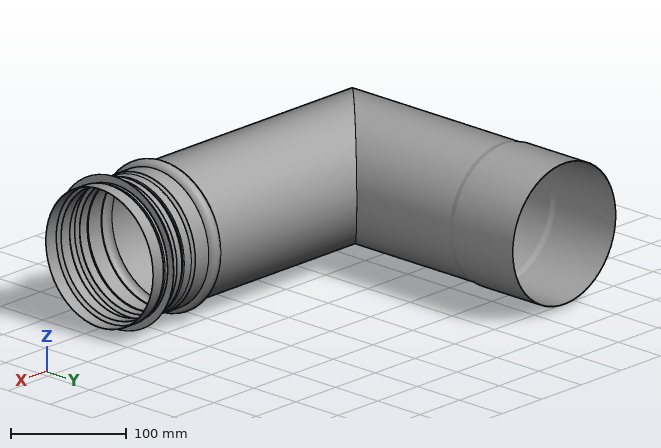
import cadquery as cq

WALL = 0.58
PIPE_RADIUS = 128.0 / 2
SOCKET_RADIUS = 130.0 / 2
LIP_RADIUS = 139.8 / 2
OVERALL_X = 385.0
OVERALL_Y = 319.5
X_END = OVERALL_X - SOCKET_RADIUS
Y_END = OVERALL_Y - LIP_RADIUS

SOCKET_LENGTH = 70.0
SOCKET_TAPER = 5.5

BEAD_CENTER = 243.5
BEAD_RADIUS = 138.3 / 2
BEAD_WIDTH = 14.0

GROOVE_RADIUS = 122.0 / 2
GROOVE_WIDTH = 17.0
GROOVE_SLOPE = 3.0
GROOVE_CENTERS = (275.5, 298.5)

SEAL_RADIUS = 125.5 / 2
INNER_SEAL_WIDTH = 9.0
OUTER_SEAL_WIDTH = GROOVE_WIDTH - 2 * GROOVE_SLOPE
LIP_THICKNESS = 0.8
LIP_POSITION = 300.8

START = -2 * PIPE_RADIUS


def x_pipe_form(inset):
    """Solid of revolution of the X pipe, with all radii reduced by inset."""
    surface = PIPE_RADIUS - inset
    half_bead = BEAD_WIDTH / 2 - inset
    outline = (
        cq.Workplane("XY")
        .moveTo(START, 0)
        .lineTo(START, surface)
        .lineTo(BEAD_CENTER - half_bead, surface)
        .threePointArc((BEAD_CENTER, BEAD_RADIUS - inset), (BEAD_CENTER + half_bead, surface))
    )
    half_top = GROOVE_WIDTH / 2
    half_floor = half_top - GROOVE_SLOPE
    for center in GROOVE_CENTERS:
        outline = (
            outline.lineTo(center - half_top, surface)
            .lineTo(center - half_floor, GROOVE_RADIUS - inset)
            .lineTo(center + half_floor, GROOVE_RADIUS - inset)
            .lineTo(center + half_top, surface)
        )
    outline = outline.lineTo(X_END, surface).lineTo(X_END, 0)
    return outline.close().revolve(360, (0, 0, 0), (1, 0, 0))


def y_pipe_form(inset):
    """Solid of revolution of the Y pipe, with all radii reduced by inset."""
    surface = PIPE_RADIUS - inset
    socket = SOCKET_RADIUS - inset
    socket_start = Y_END - SOCKET_LENGTH
    outline = (
        cq.Workplane("XY")
        .moveTo(0, START)
        .lineTo(surface, START)
        .lineTo(surface, socket_start - SOCKET_TAPER)
        .lineTo(socket, socket_start)
        .lineTo(socket, Y_END)
        .lineTo(0, Y_END)
    )
    return outline.close().revolve(360, (0, 0, 0), (0, 1, 0))


def mitre_side(x_direction):
    """Half of space cut by the plane x = y: the +X side for 1, the -X side for -1."""
    reach = 2 * OVERALL_X
    return (
        cq.Workplane("XY")
        .polyline([(-reach, -reach), (reach, reach), (x_direction * reach, -x_direction * reach)])
        .close()
        .extrude(OVERALL_X, both=True)
    )


def make_x_pipe():
    """Pipe along +X with bead and seal grooves, hollow and mitred at the corner."""
    return x_pipe_form(0).cut(x_pipe_form(WALL)).intersect(mitre_side(1))


def make_y_pipe():
    """Pipe along +Y with a widened socket end, hollow and mitred at the corner."""
    return y_pipe_form(0).cut(y_pipe_form(WALL)).intersect(mitre_side(-1))


def ring(center, width, outer_radius):
    """Ring around the X axis that sits on the groove floor."""
    return (
        cq.Workplane("YZ", origin=(center - width / 2, 0, 0))
        .circle(outer_radius)
        .circle(GROOVE_RADIUS)
        .extrude(width)
    )


def make_inner_seal():
    """Plain sealing band in the groove next to the bead."""
    return ring(GROOVE_CENTERS[0], INNER_SEAL_WIDTH, SEAL_RADIUS)


def make_outer_seal():
    """Sealing band that fills the groove floor near the pipe end and carries a thin lip."""
    band = ring(GROOVE_CENTERS[1], OUTER_SEAL_WIDTH, SEAL_RADIUS)
    lip = ring(LIP_POSITION, LIP_THICKNESS, LIP_RADIUS)
    return band.union(lip)


x_pipe = make_x_pipe()
y_pipe = make_y_pipe()
inner_seal = make_inner_seal()
outer_seal = make_outer_seal()

result = cq.Compound.makeCompound([x_pipe.val(), y_pipe.val(), inner_seal.val(), outer_seal.val()])